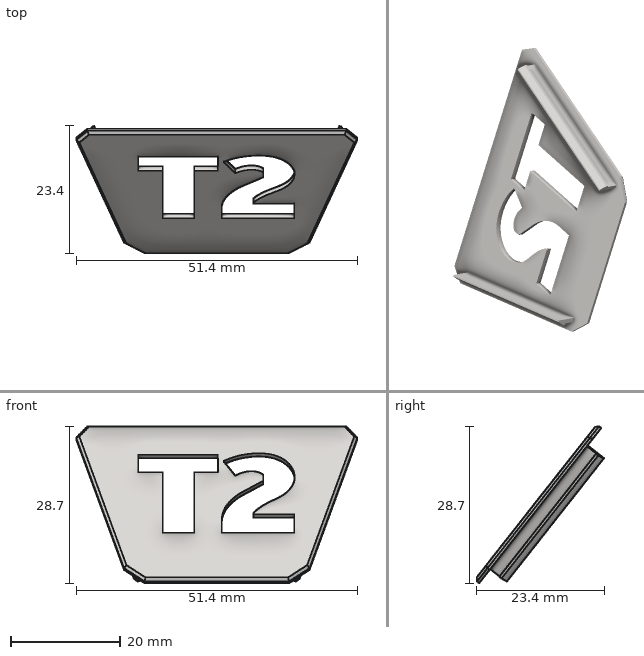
import cadquery as cq
import math

tilt_angle = 51.8
plate_height = 36.1
plate_thickness = 1.05
edge_chamfer = 0.5
half_height = plate_height / 2

top_half_width = 23.65
shoulder_half_width = 25.7
top_corner_drop = 2.65
shoulder_y = half_height - top_corner_drop
foot_half_width = 16.95
bottom_corner_rise = 3.1
foot_y = -half_height + bottom_corner_rise
bottom_half_width = 13.2

rail_inset = 2.0
rail_thickness = 0.75
rail_length = 29.75
rail_start = 2.2
rail_depth = 3.8
lip_overhang = 0.25
lip_depth = 2.15
lip_land = 0.5
tip_width = 0.3

letter_top = 11.0
letter_bottom = -7.1
stem_left = -9.85
stem_right = -4.15
bar_left = -14.35
bar_right = 0.2
bar_bottom = 7.0
two_left = 0.9
two_right = 14.15
two_base_top = -2.9
two_base_left = 6.7
two_stem_top = -3.65
two_tip = (1.25, 9.55)
two_waist_x = 8.55
two_waist_bottom = 5.0
two_waist_top = 6.3


def make_plate():
    right_side = [
        (bottom_half_width, -half_height),
        (foot_half_width, foot_y),
        (shoulder_half_width, shoulder_y),
        (top_half_width, half_height),
    ]
    left_side = [(-x, y) for x, y in reversed(right_side)]
    plate = cq.Workplane("XY").polyline(right_side + left_side).close().extrude(plate_thickness)
    return plate.faces(">Z").edges().chamfer(edge_chamfer)


def make_right_rail():
    """Wall with an outward snap lip, running parallel to the right side."""
    side_x = foot_half_width - shoulder_half_width
    side_y = foot_y - shoulder_y
    side_length = math.hypot(side_x, side_y)
    along = cq.Vector(side_x / side_length, side_y / side_length, 0)
    outward = cq.Vector(-along.y, along.x, 0)
    shoulder = cq.Vector(shoulder_half_width, shoulder_y, 0)
    section = cq.Plane(
        origin=shoulder + along * rail_start - outward * rail_inset,
        xDir=outward,
        normal=along,
    )
    profile = [
        (-rail_thickness, 0),
        (0, 0),
        (0, -lip_depth),
        (lip_overhang, -lip_depth),
        (lip_overhang, -lip_depth - lip_land),
        (-rail_thickness + tip_width, -rail_depth),
        (-rail_thickness, -rail_depth),
    ]
    return cq.Workplane(section).polyline(profile).close().extrude(rail_length)


def make_letter_t():
    outline = [
        (bar_left, letter_top),
        (bar_right, letter_top),
        (bar_right, bar_bottom),
        (stem_right, bar_bottom),
        (stem_right, letter_bottom),
        (stem_left, letter_bottom),
        (stem_left, bar_bottom),
        (bar_left, bar_bottom),
    ]
    return cq.Workplane("XY").polyline(outline).close().extrude(plate_thickness)


def make_digit_2():
    outer_bowl = [
        (3.65, 10.7), (7.05, 11.35), (9.5, 11.2), (12.15, 10.0), (14.25, 5.95),
        (12.55, 2.05), (9.75, 0.15), (7.75, -1.35), (two_base_left, -2.55),
    ]
    inner_stroke = [(1.85, -0.65), (4.25, 2.05), (6.85, 3.8), (two_waist_x, two_waist_bottom)]
    inner_bowl = [(7.45, 7.05), (5.95, 7.2), (3.4, 6.15)]
    return (
        cq.Workplane("XY")
        .moveTo(*two_tip)
        .spline(outer_bowl, includeCurrent=True)
        .lineTo(two_base_left, two_base_top)
        .lineTo(two_right, two_base_top)
        .lineTo(two_right, letter_bottom)
        .lineTo(two_left, letter_bottom)
        .lineTo(two_left, two_stem_top)
        .spline(inner_stroke, includeCurrent=True)
        .lineTo(two_waist_x, two_waist_top)
        .spline(inner_bowl, includeCurrent=True)
        .close()
        .extrude(plate_thickness)
    )


right_rail = make_right_rail()
left_rail = right_rail.mirror("YZ")
badge = make_plate().cut(make_letter_t()).cut(make_digit_2())
badge = badge.union(right_rail).union(left_rail)

result = badge.rotate((0, 0, 0), (1, 0, 0), tilt_angle)